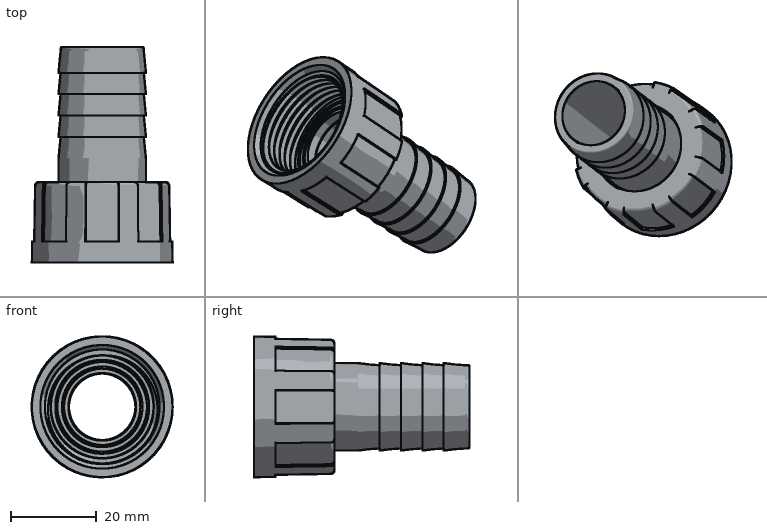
import cadquery as cq
import math


NUT_LENGTH = 18.85
NUT_FRONT_RADIUS = 32.97 / 2
NUT_DRAFT = math.radians(1.0)
NUT_BACK_FILLET = 1.0
COLLAR_LENGTH = 5.0

GRIP_COUNT = 8
GRIP_DEPTH = 0.55
GRIP_ANGLE = 28.0

NUT_BORE_RADIUS = 12.06
NUT_BACK_WALL = 2.0
NECK_HOLE_RADIUS = 10.6
MOUTH_RADIUS = 14.45
MOUTH_FLOOR_RADIUS = 13.4
MOUTH_DEPTH = 1.1

THREAD_PITCH = 1.814
THREAD_ROOT_RADIUS = 13.22
THREAD_FLANK = math.radians(27.5)
THREAD_ROOT_WIDTH = 0.45
THREAD_TURNS = 7.5
THREAD_START_Y = -1.1
THREAD_OVERCUT = 0.2

SEAL_FRONT_Y = 11.4
SEAL_THICKNESS = 2.5
SEAL_RADIUS = 12.0
SEAL_BORE_RADIUS = 15.81 / 2
SEAL_GROOVE_INNER_RADII = (17.82 / 2, 20.94 / 2)
SEAL_GROOVE_WIDTH = 0.51
SEAL_GROOVE_DEPTH = 0.5

TAIL_END_Y = 50.4
TAIL_BORE_RADIUS = 15.5 / 2
TAIL_FLANGE_RADIUS = 23.97 / 2
NECK_RADIUS = 20.5 / 2
BARB_ROOT_RADIUS = 19.5 / 2
BARB_COUNT = 5
BARB_PITCH = 5.0
NECK_END_Y = 24.35
TIP_LENGTH = 1.0
TIP_FILLET = 0.5

NUT_BACK_RADIUS = NUT_FRONT_RADIUS - NUT_LENGTH * math.tan(NUT_DRAFT)
TAIL_FLANGE_FRONT_Y = SEAL_FRONT_Y + SEAL_THICKNESS
TAIL_FLANGE_BACK_Y = NUT_LENGTH - NUT_BACK_WALL
TIP_START_Y = TAIL_END_Y - TIP_LENGTH


def revolve_about_y(profile):
    """Turn a closed XY profile a full circle around the Y axis."""
    return profile.close().revolve(360, (0, 0, 0), (0, 1, 0))


def nut_blank():
    """Drafted outer body with a rounded back edge."""
    body = revolve_about_y(
        cq.Workplane("XY")
        .lineTo(NUT_FRONT_RADIUS, 0)
        .lineTo(NUT_BACK_RADIUS, NUT_LENGTH)
        .lineTo(0, NUT_LENGTH)
    )
    return body.faces(">Y").edges().fillet(NUT_BACK_FILLET)


def grip_recess():
    """Shallow sector behind the collar, with its floor parallel to the drafted side."""
    front_radius = NUT_FRONT_RADIUS - COLLAR_LENGTH * math.tan(NUT_DRAFT) - GRIP_DEPTH
    back_radius = NUT_BACK_RADIUS - GRIP_DEPTH
    core = revolve_about_y(
        cq.Workplane("XY")
        .moveTo(0, COLLAR_LENGTH)
        .lineTo(front_radius, COLLAR_LENGTH)
        .lineTo(back_radius, NUT_LENGTH)
        .lineTo(0, NUT_LENGTH)
    )
    core = core.faces(">Y").edges().fillet(NUT_BACK_FILLET)
    sector = (
        cq.Workplane("XY")
        .moveTo(0, COLLAR_LENGTH)
        .rect(NUT_FRONT_RADIUS, NUT_LENGTH, centered=False)
        .revolve(GRIP_ANGLE, (0, 0, 0), (0, 1, 0))
        .rotate((0, 0, 0), (0, 1, 0), -GRIP_ANGLE / 2)
    )
    return sector.cut(core)


def nut_cavity():
    """Conical mouth, threaded bore and clearance hole for the neck of the tail."""
    return revolve_about_y(
        cq.Workplane("XY")
        .lineTo(MOUTH_RADIUS, 0)
        .lineTo(MOUTH_FLOOR_RADIUS, MOUTH_DEPTH)
        .lineTo(NUT_BORE_RADIUS, MOUTH_DEPTH)
        .lineTo(NUT_BORE_RADIUS, TAIL_FLANGE_BACK_Y)
        .lineTo(NECK_HOLE_RADIUS, TAIL_FLANGE_BACK_Y)
        .lineTo(NECK_HOLE_RADIUS, NUT_LENGTH)
        .lineTo(0, NUT_LENGTH)
    )


def thread_groove():
    """Helical groove, swept along Z and then turned onto the Y axis."""
    inner_radius = NUT_BORE_RADIUS - THREAD_OVERCUT
    root_half = THREAD_ROOT_WIDTH / 2
    mouth_half = root_half + (THREAD_ROOT_RADIUS - inner_radius) * math.tan(THREAD_FLANK)
    path = cq.Wire.makeHelix(THREAD_PITCH, THREAD_PITCH * THREAD_TURNS, NUT_BORE_RADIUS)
    groove = (
        cq.Workplane("XZ")
        .moveTo(inner_radius, -mouth_half)
        .lineTo(THREAD_ROOT_RADIUS, -root_half)
        .lineTo(THREAD_ROOT_RADIUS, root_half)
        .lineTo(inner_radius, mouth_half)
        .close()
        .sweep(cq.Workplane(obj=path), isFrenet=True)
    )
    return groove.rotate((0, 0, 0), (1, 0, 0), -90).translate((0, THREAD_START_Y, 0))


def make_nut():
    nut = nut_blank()
    recess = grip_recess()
    for index in range(GRIP_COUNT):
        nut = nut.cut(recess.rotate((0, 0, 0), (0, 1, 0), index * 360 / GRIP_COUNT))
    return nut.cut(nut_cavity()).cut(thread_groove())


def ring(inner_radius, outer_radius, start_y, length):
    """Plain ring around the Y axis."""
    return revolve_about_y(
        cq.Workplane("XY")
        .moveTo(inner_radius, start_y)
        .lineTo(outer_radius, start_y)
        .lineTo(outer_radius, start_y + length)
        .lineTo(inner_radius, start_y + length)
    )


def make_seal():
    """Flat ring with concentric grooves in its front face."""
    seal = ring(SEAL_BORE_RADIUS, SEAL_RADIUS, SEAL_FRONT_Y, SEAL_THICKNESS)
    for inner_radius in SEAL_GROOVE_INNER_RADII:
        outer_radius = inner_radius + SEAL_GROOVE_WIDTH
        seal = seal.cut(ring(inner_radius, outer_radius, SEAL_FRONT_Y, SEAL_GROOVE_DEPTH))
    return seal


def make_tail():
    """Flanged tube with a plain neck, sawtooth barbs and a rounded tip."""
    profile = (
        cq.Workplane("XY")
        .moveTo(TAIL_BORE_RADIUS, TAIL_FLANGE_FRONT_Y)
        .lineTo(TAIL_FLANGE_RADIUS, TAIL_FLANGE_FRONT_Y)
        .lineTo(TAIL_FLANGE_RADIUS, TAIL_FLANGE_BACK_Y)
        .lineTo(NECK_RADIUS, TAIL_FLANGE_BACK_Y)
        .lineTo(NECK_RADIUS, NECK_END_Y)
    )
    for index in range(1, BARB_COUNT):
        shoulder_y = NECK_END_Y + index * BARB_PITCH
        profile = profile.lineTo(BARB_ROOT_RADIUS, shoulder_y).lineTo(NECK_RADIUS, shoulder_y)
    profile = (
        profile.lineTo(BARB_ROOT_RADIUS, TIP_START_Y)
        .lineTo(BARB_ROOT_RADIUS, TAIL_END_Y - TIP_FILLET)
        .radiusArc((BARB_ROOT_RADIUS - TIP_FILLET, TAIL_END_Y), -TIP_FILLET)
        .lineTo(TAIL_BORE_RADIUS, TAIL_END_Y)
    )
    return revolve_about_y(profile)


nut = make_nut()
seal = make_seal()
tail = make_tail()

result = cq.Compound.makeCompound([*nut.solids().vals(), *seal.solids().vals(), tail.val()])